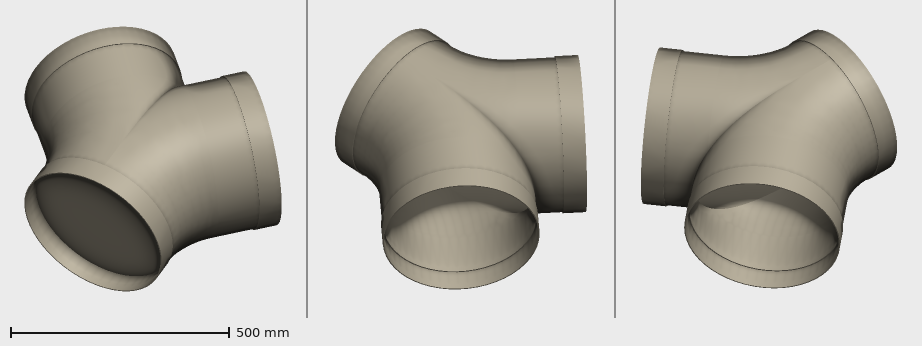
import cadquery as cq
import math

pipe_diameter = 355.0
pipe_bore = 349.0
collar_diameter = 360.5
collar_bore = 355.0
collar_length = 53.0
bend_radius = pipe_diameter
bend_angle = 45
arm_length = 150.0
collar_start = arm_length - collar_length
collar_overlap = 3.0
trim_size = 1350.5
blank_thickness = (pipe_diameter - pipe_bore) / 2

bend_cosine = math.cos(math.radians(bend_angle))
bend_sine = math.sin(math.radians(bend_angle))
elbow_end = (
    -bend_radius * (1 - bend_cosine),
    collar_length + bend_radius * bend_sine,
)


def along_arm(distance):
    """Point on the left arm's axis at a distance past the elbow."""
    return (elbow_end[0] - distance * bend_sine, elbow_end[1] + distance * bend_cosine, 0)


def arm_cylinder(diameter, start, end):
    """Round bar along the left arm's axis between two distances past the elbow."""
    axis = cq.Vector(-bend_sine, bend_cosine, 0)
    base = cq.Vector(*along_arm(start))
    return cq.Workplane(cq.Solid.makeCylinder(diameter / 2, end - start, base, axis))


def inlet_cylinder(diameter, start, end):
    """Round bar along the inlet axis between two Y positions."""
    base = cq.Vector(0, start, 0)
    axis = cq.Vector(0, 1, 0)
    return cq.Workplane(cq.Solid.makeCylinder(diameter / 2, end - start, base, axis))


def left_branch(diameter):
    """Solid elbow and straight arm, trimmed at the symmetry plane X = 0."""
    elbow = (
        cq.Workplane("XZ", origin=(0, collar_length, 0))
        .circle(diameter / 2)
        .revolve(bend_angle, (-bend_radius, -7, 0), (-bend_radius, 7, 0))
    )
    branch = elbow.union(arm_cylinder(diameter, 0, collar_start))
    left_half = cq.Workplane("XY").box(trim_size, trim_size, trim_size).translate((-trim_size / 2, 0, 0))
    return branch.intersect(left_half)


def both_sides(left):
    """Join a left-hand shape with its mirror image."""
    return left.union(left.mirror("YZ"))


body = both_sides(left_branch(pipe_diameter))
cavity = both_sides(left_branch(pipe_bore))
body = body.cut(cavity)

arm_collar = arm_cylinder(collar_diameter, collar_start, arm_length)
arm_collar = arm_collar.cut(arm_cylinder(collar_bore, collar_start + collar_overlap, arm_length))
arm_collar = arm_collar.cut(arm_cylinder(pipe_bore, collar_start, arm_length))

inlet_collar = inlet_cylinder(collar_diameter, 0, collar_length)
inlet_collar = inlet_collar.cut(inlet_cylinder(collar_bore, 0, collar_length - blank_thickness))

result = body.union(both_sides(arm_collar)).union(inlet_collar)